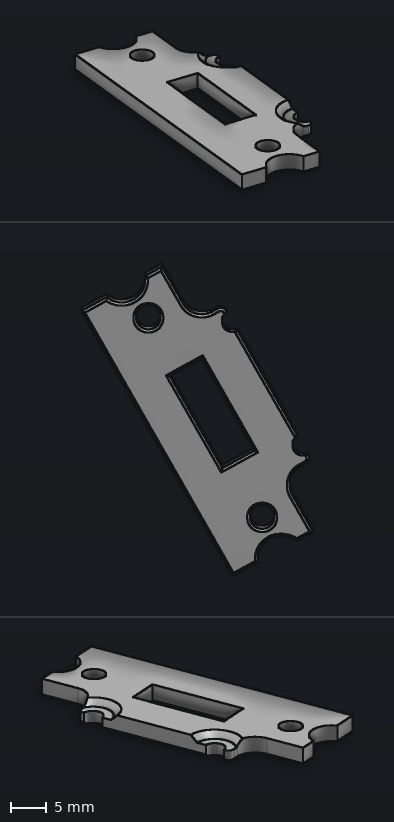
import cadquery as cq
import math

length = 43.2
depth = 17.65
thickness = 2.8
half_length = length / 2
bottom_chamfer = 0.4

shoulder_y = 12.9
tab_half_width = 12.6
tab_root_radius = 3.0
tab_corner_radius = 0.9

end_notch_radius = 3.3
end_notch_y = 7.13
end_notch_depth = 2.1

hole_diameter = 3.4
hole_x = 16.25
hole_y = 7.75
window_length = 15.0
window_width = 5.05
window_y = 8.8

seat_x = 10.05
seat_y = 17.75
seat_notch_radius = 1.5
seat_floor_radius = 2.95
seat_top_radius = 3.97
seat_depth = 0.95


def plate_outline():
    """Closed outline, drawn counterclockwise from the front left corner."""
    notch_half_chord = math.sqrt(end_notch_radius**2 - (end_notch_radius - end_notch_depth) ** 2)
    notch_low = end_notch_y - notch_half_chord
    notch_high = end_notch_y + notch_half_chord
    notch_x = half_length - end_notch_depth
    root_x = tab_half_width + tab_root_radius
    root_y = shoulder_y + tab_root_radius
    corner_x = tab_half_width - tab_corner_radius
    corner_y = depth - tab_corner_radius
    diagonal = math.sqrt(0.5)
    root_mid_x = root_x - tab_root_radius * diagonal
    root_mid_y = root_y - tab_root_radius * diagonal
    corner_mid_x = corner_x + tab_corner_radius * diagonal
    corner_mid_y = corner_y + tab_corner_radius * diagonal
    return (
        cq.Workplane("XY")
        .moveTo(-half_length, 0)
        .lineTo(half_length, 0)
        .lineTo(half_length, notch_low)
        .threePointArc((notch_x, end_notch_y), (half_length, notch_high))
        .lineTo(half_length, shoulder_y)
        .lineTo(root_x, shoulder_y)
        .threePointArc((root_mid_x, root_mid_y), (tab_half_width, root_y))
        .lineTo(tab_half_width, corner_y)
        .threePointArc((corner_mid_x, corner_mid_y), (corner_x, depth))
        .lineTo(-corner_x, depth)
        .threePointArc((-corner_mid_x, corner_mid_y), (-tab_half_width, corner_y))
        .lineTo(-tab_half_width, root_y)
        .threePointArc((-root_mid_x, root_mid_y), (-root_x, shoulder_y))
        .lineTo(-half_length, shoulder_y)
        .lineTo(-half_length, notch_high)
        .threePointArc((-notch_x, end_notch_y), (-half_length, notch_low))
        .close()
    )


def seat_cutter(x):
    """Through notch with a flat-bottomed conical recess above it."""
    notch = cq.Workplane("XY").center(x, seat_y).circle(seat_notch_radius).extrude(thickness)
    recess = (
        cq.Workplane("XY", origin=(x, seat_y, thickness - seat_depth))
        .circle(seat_floor_radius)
        .workplane(offset=seat_depth)
        .circle(seat_top_radius)
        .loft()
    )
    return notch.union(recess)


plate = plate_outline().extrude(thickness)

window = cq.Workplane("XY").center(0, window_y).rect(window_length, window_width).extrude(thickness)
holes = (
    cq.Workplane("XY")
    .pushPoints([(-hole_x, hole_y), (hole_x, hole_y)])
    .circle(hole_diameter / 2)
    .extrude(thickness)
)
result = plate.cut(window).cut(holes)

result = result.faces("<Z").chamfer(bottom_chamfer)

for side in (-1, 1):
    result = result.cut(seat_cutter(side * seat_x))